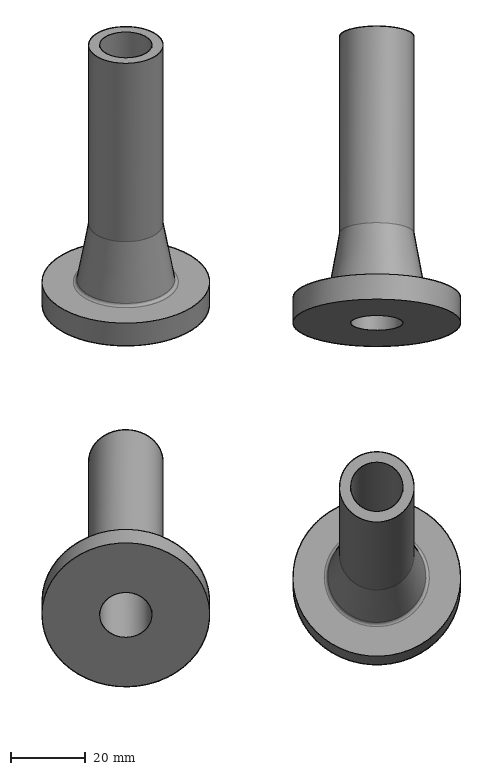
import cadquery as cq

height = 80.0
flange_diameter = 45.0
flange_thickness = 7.0
tube_diameter = 20.0
bore_diameter = 14.0

neck_top_height = 25.0
neck_base_diameter = 26.6
root_fillet_radius = 1.0


def flange():
    return cq.Workplane("XY").circle(flange_diameter / 2).extrude(flange_thickness)


def neck_and_tube():
    """Cone standing on the flange, continuing upward as a straight tube."""
    profile = (
        cq.Workplane("XZ")
        .moveTo(0, flange_thickness)
        .lineTo(neck_base_diameter / 2, flange_thickness)
        .lineTo(tube_diameter / 2, neck_top_height)
        .lineTo(tube_diameter / 2, height)
        .lineTo(0, height)
        .close()
    )
    return profile.revolve(360, (0, 0, 0), (0, 1, 0))


def bore():
    return cq.Workplane("XY").circle(bore_diameter / 2).extrude(height)


def root_edge_selector():
    """Box enclosing only the circle where the neck meets the flange."""
    reach = (neck_base_diameter + flange_diameter) / 4
    margin = flange_thickness / 4
    return cq.selectors.BoxSelector(
        (-reach, -reach, flange_thickness - margin),
        (reach, reach, flange_thickness + margin),
        boundingbox=True,
    )


body = flange().union(neck_and_tube())
body = body.edges(root_edge_selector()).fillet(root_fillet_radius)
result = body.cut(bore())